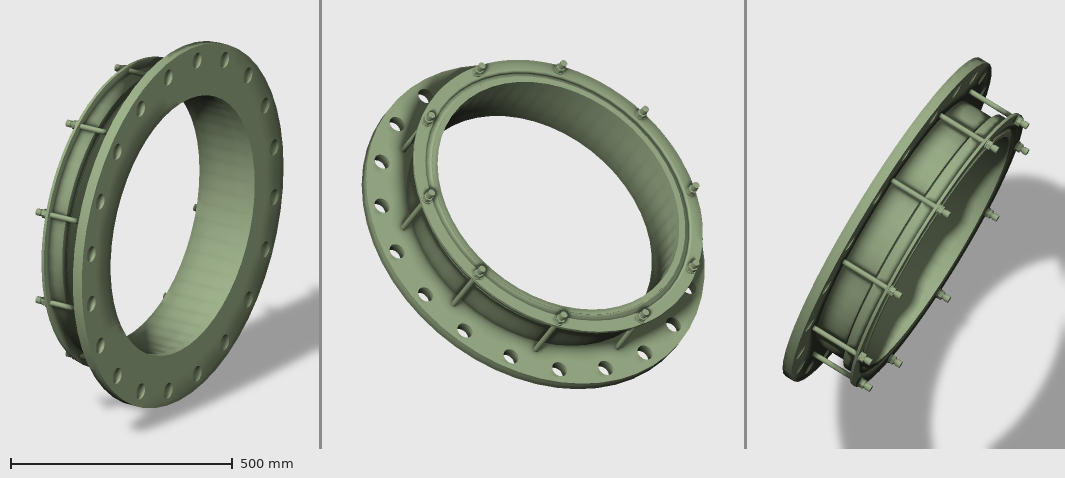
import cadquery as cq


flange_diameter = 840
flange_thickness = 24
bore_diameter = 600
body_diameter = 640
body_length = 101
spigot_diameter = 626
spigot_length = 148

flange_hole_count = 20
flange_hole_diameter = 37
flange_hole_circle = 770
flange_hole_start = 180 / flange_hole_count

plate_diameter = 717
plate_front = spigot_length
plate_thickness = 7
plate_back = plate_front - plate_thickness
plate_edge_radius = 1
sleeve_diameter = 669
sleeve_end = 107.5
ring_bore_diameter = 654
ring_mouth_radius = 5
root_fillet = 4

gasket_end = 105.5
gasket_nose = 147
gasket_nose_diameter = 630
gasket_shoulder = 143
gasket_shoulder_diameter = 640
gasket_fit_start = 140

rod_count = 10
rod_circle = 690
rod_end = 178
rod_diameter = 12
thread_diameter = 13
cap_diameter = 16
cap_length = 12
washer_diameter = 24
washer_thickness = 3
nut_across_flats = 19
nut_thickness = 10
nut_turn = 15


def cylinder(diameter, start, end):
    """Solid cylinder on the X axis between two distances from the flange face."""
    return cq.Workplane("YZ").workplane(offset=-end).circle(diameter / 2).extrude(end - start)


def revolve_profile(profile):
    """Turn an XY profile about the X axis."""
    return profile.close().revolve(360, (0, 0, 0), (1, 0, 0))


def make_body():
    body = cylinder(flange_diameter, 0, flange_thickness)
    body = body.union(cylinder(body_diameter, 0, body_length))
    body = body.union(cylinder(spigot_diameter, 0, spigot_length))
    body = body.cut(cylinder(bore_diameter, 0, spigot_length))
    holes = (
        cq.Workplane("YZ")
        .polarArray(flange_hole_circle / 2, flange_hole_start, 360, flange_hole_count)
        .circle(flange_hole_diameter / 2)
        .extrude(-flange_thickness)
    )
    return body.cut(holes)


def make_gasket():
    return revolve_profile(
        cq.Workplane("XY")
        .moveTo(-gasket_nose, spigot_diameter / 2)
        .lineTo(-gasket_nose, gasket_nose_diameter / 2)
        .lineTo(-gasket_shoulder, gasket_shoulder_diameter / 2)
        .lineTo(-gasket_fit_start, ring_bore_diameter / 2)
        .lineTo(-sleeve_end, ring_bore_diameter / 2)
        .lineTo(-sleeve_end, gasket_nose_diameter / 2)
        .lineTo(-gasket_end, gasket_nose_diameter / 2)
        .lineTo(-gasket_end, spigot_diameter / 2)
    )


def make_clamping_ring():
    bore_radius = ring_bore_diameter / 2
    plate_radius = plate_diameter / 2
    sleeve_radius = sleeve_diameter / 2
    return revolve_profile(
        cq.Workplane("XY")
        .moveTo(-plate_front, bore_radius + ring_mouth_radius)
        .lineTo(-plate_front, plate_radius - plate_edge_radius)
        .radiusArc((-plate_front + plate_edge_radius, plate_radius), plate_edge_radius)
        .lineTo(-plate_back, plate_radius)
        .lineTo(-plate_back, sleeve_radius + root_fillet)
        .radiusArc((-plate_back + root_fillet, sleeve_radius), -root_fillet)
        .lineTo(-sleeve_end, sleeve_radius)
        .lineTo(-sleeve_end, bore_radius)
        .lineTo(-plate_front + ring_mouth_radius, bore_radius)
        .radiusArc((-plate_front, bore_radius + ring_mouth_radius), ring_mouth_radius)
    )


def make_tie_rod():
    """Rod on the X axis, from the inner flange face out through the clamping plate."""
    washer_front = plate_front + washer_thickness
    nut_front = washer_front + nut_thickness
    rod = cylinder(rod_diameter, flange_thickness, plate_front)
    rod = rod.union(cylinder(washer_diameter, plate_front, washer_front))
    rod = rod.union(cylinder(thread_diameter, plate_front, rod_end))
    rod = rod.union(cylinder(cap_diameter, rod_end - cap_length, rod_end))
    nut = (
        cq.Workplane("YZ")
        .workplane(offset=-nut_front)
        .polygon(6, nut_across_flats, circumscribed=True)
        .extrude(nut_thickness)
        .rotate((0, 0, 0), (1, 0, 0), nut_turn)
    )
    return rod.union(nut)


def add_tie_rods(part):
    rod = make_tie_rod().translate((0, 0, rod_circle / 2))
    for index in range(rod_count):
        angle = index * 360 / rod_count
        part = part.union(rod.rotate((0, 0, 0), (1, 0, 0), angle))
    return part


result = add_tie_rods(make_body().union(make_gasket()).union(make_clamping_ring()))